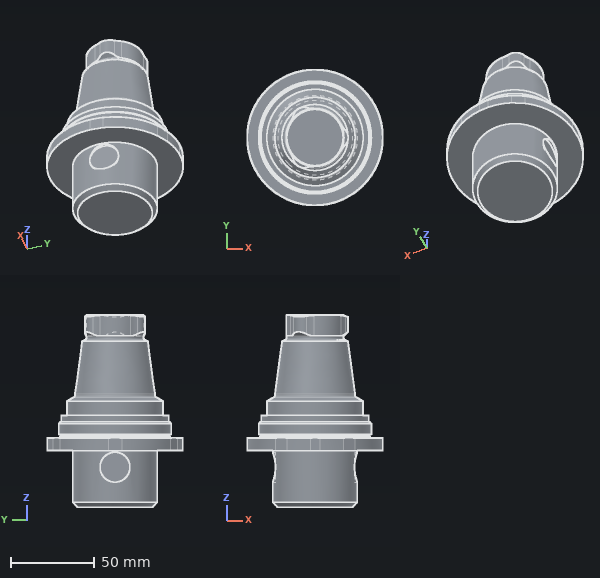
import cadquery as cq
import math

TOTAL_HEIGHT = 116.0
SHANK_RADIUS = 51.0 / 2
SHANK_CHAMFER = 3.0
SHANK_CHAMFER_HEIGHT = 3.2

POCKET_DIAMETER = 18.0
POCKET_CENTER_Z = 24.2
POCKET_FLOOR_X = 23.8

FLANGE_RADIUS = 41.0
FLANGE_BOTTOM_Z = 34.2
FLANGE_TOP_Z = 42.0
FLANGE_CHAMFER = 0.3
MAIN_FLAT_DISTANCE = 40.8
MAIN_FLAT_COUNT = 6
SIDE_FLAT_DISTANCE = 40.9
SIDE_FLAT_ANGLES = (90.0, 270.0)

GROOVE_RADIUS = 66.1 / 2
GROOVE_CHAMFER_TOP_Z = 44.1
GROOVE_TOP_Z = 43.6
GROOVE_FLARE_RADIUS = 33.4
GROOVE_FLARE_TOP_Z = 42.7
COLLAR_RADIUS = 68.0 / 2
COLLAR_TOP_Z = 50.2
COLLAR_LIP_RADIUS = GROOVE_RADIUS
COLLAR_LIP_Z = 51.5

STEP_RADIUS = 64.96 / 2
STEP_TOP_Z = 55.4
SHOULDER_RADIUS = 58.0 / 2
SHOULDER_TOP_Z = 64.0
SHOULDER_CONE_RADIUS = 24.75
SHOULDER_CONE_TOP_Z = 66.4

TAPER_BASE_RADIUS = 24.15
TAPER_FILLET_TOP_Z = 67.2
TAPER_BASE_Z = 68.5
TAPER_TOP_RADIUS = 19.9
TAPER_TOP_Z = 99.9
TAPER_RIM_RADIUS = 18.25
TAPER_RIM_Z = 100.75

NECK_MID_RADIUS = 17.2
NECK_MID_Z = 101.9
HEAD_RADIUS = 17.45
HEAD_BOTTOM_Z = 103.15
HEAD_TOP_RADIUS = 16.9
HEAD_CHAMFER_Z = 115.45
LOBE_COUNT = 3
LOBE_TIP_RADIUS = 20.0
LOBE_RADIUS = 6.4
LOBE_CENTER_DISTANCE = LOBE_TIP_RADIUS - LOBE_RADIUS
LOBE_TOP_Z = 114.6
LOBE_BOTTOM_Z = 105.6
LOBE_BLEND_ANGLE = 28.0


def polar(radius, angle):
    """Point at a radius and an angle in degrees."""
    return (radius * math.cos(math.radians(angle)), radius * math.sin(math.radians(angle)))


def make_body():
    """Turned body from the shank up to the underside of the head."""
    profile = (
        cq.Workplane("XZ")
        .moveTo(0, 0)
        .lineTo(SHANK_RADIUS - SHANK_CHAMFER, 0)
        .lineTo(SHANK_RADIUS, SHANK_CHAMFER_HEIGHT)
        .lineTo(SHANK_RADIUS, FLANGE_BOTTOM_Z)
        .lineTo(GROOVE_FLARE_RADIUS, FLANGE_BOTTOM_Z)
        .lineTo(GROOVE_FLARE_RADIUS, FLANGE_TOP_Z)
        .lineTo(GROOVE_RADIUS, GROOVE_FLARE_TOP_Z)
        .lineTo(GROOVE_RADIUS, GROOVE_TOP_Z)
        .lineTo(COLLAR_RADIUS, GROOVE_CHAMFER_TOP_Z)
        .lineTo(COLLAR_RADIUS, COLLAR_TOP_Z)
        .lineTo(COLLAR_LIP_RADIUS, COLLAR_LIP_Z)
        .lineTo(STEP_RADIUS, COLLAR_LIP_Z)
        .lineTo(STEP_RADIUS, STEP_TOP_Z)
        .lineTo(SHOULDER_RADIUS, STEP_TOP_Z)
        .lineTo(SHOULDER_RADIUS, SHOULDER_TOP_Z)
        .lineTo(SHOULDER_CONE_RADIUS, SHOULDER_CONE_TOP_Z)
        .tangentArcPoint((TAPER_BASE_RADIUS, TAPER_FILLET_TOP_Z), relative=False)
        .lineTo(TAPER_BASE_RADIUS, TAPER_BASE_Z)
        .lineTo(TAPER_TOP_RADIUS, TAPER_TOP_Z)
        .lineTo(TAPER_RIM_RADIUS, TAPER_RIM_Z)
        .threePointArc((NECK_MID_RADIUS, NECK_MID_Z), (HEAD_RADIUS, HEAD_BOTTOM_Z))
        .lineTo(0, HEAD_BOTTOM_Z)
        .close()
    )
    return profile.revolve(360, (0, 0, 0), (0, 1, 0))


def make_flange():
    """Disc with a chamfered top edge and flats cut into its rim."""
    height = FLANGE_TOP_Z - FLANGE_BOTTOM_Z
    flange = cq.Workplane("XY").workplane(offset=FLANGE_BOTTOM_Z).circle(FLANGE_RADIUS).extrude(height)
    flange = flange.faces(">Z").edges().chamfer(FLANGE_CHAMFER)
    flats = [(i * 360 / MAIN_FLAT_COUNT, MAIN_FLAT_DISTANCE) for i in range(MAIN_FLAT_COUNT)]
    flats += [(angle, SIDE_FLAT_DISTANCE) for angle in SIDE_FLAT_ANGLES]
    for angle, distance in flats:
        cutter = (
            cq.Workplane("XY")
            .box(FLANGE_RADIUS, FLANGE_RADIUS, height, centered=(False, True, False))
            .translate((distance, 0, FLANGE_BOTTOM_Z))
            .rotate((0, 0, 0), (0, 0, 1), angle)
        )
        flange = flange.cut(cutter)
    return flange


def lobed_outline():
    """Circle with rounded lobes, each joined to it by tangent concave arcs."""
    blend_cos = math.cos(math.radians(LOBE_BLEND_ANGLE))
    radius_gap = HEAD_RADIUS - LOBE_RADIUS
    blend_center_distance = (LOBE_CENTER_DISTANCE**2 - radius_gap**2) / (
        2 * (LOBE_CENTER_DISTANCE * blend_cos - radius_gap)
    )
    blend_radius = blend_center_distance - HEAD_RADIUS
    center_x, center_y = polar(blend_center_distance, LOBE_BLEND_ANGLE)
    lobe_share = LOBE_RADIUS / (LOBE_RADIUS + blend_radius)
    tangent_x = LOBE_CENTER_DISTANCE + (center_x - LOBE_CENTER_DISTANCE) * lobe_share
    tangent_y = center_y * lobe_share
    tangent_radius = math.hypot(tangent_x, tangent_y)
    tangent_angle = math.degrees(math.atan2(tangent_y, tangent_x))
    start_x, start_y = polar(HEAD_RADIUS, LOBE_BLEND_ANGLE)
    chord_x = (start_x + tangent_x) / 2 - center_x
    chord_y = (start_y + tangent_y) / 2 - center_y
    chord_scale = blend_radius / math.hypot(chord_x, chord_y)
    middle_x = center_x + chord_x * chord_scale
    middle_y = center_y + chord_y * chord_scale
    middle_radius = math.hypot(middle_x, middle_y)
    middle_angle = math.degrees(math.atan2(middle_y, middle_x))

    pitch = 360 / LOBE_COUNT
    base = cq.Workplane("XY").workplane(offset=HEAD_BOTTOM_Z)
    outline = base.moveTo(*polar(HEAD_RADIUS, -LOBE_BLEND_ANGLE))
    for i in range(LOBE_COUNT):
        axis = i * pitch
        lobe_start = polar(tangent_radius, axis - tangent_angle)
        lobe_end = polar(tangent_radius, axis + tangent_angle)
        head_start = polar(HEAD_RADIUS, axis + LOBE_BLEND_ANGLE)
        head_end = polar(HEAD_RADIUS, axis + pitch - LOBE_BLEND_ANGLE)
        outline = (
            outline
            .threePointArc(polar(middle_radius, axis - middle_angle), lobe_start)
            .threePointArc(polar(LOBE_TIP_RADIUS, axis), lobe_end)
            .threePointArc(polar(middle_radius, axis + middle_angle), head_start)
            .threePointArc(polar(HEAD_RADIUS, axis + pitch / 2), head_end)
        )
    return outline.close()


def make_head():
    """Lobed head, with its top and the lobe undersides bevelled by turned cones."""
    lobed = lobed_outline().extrude(TOTAL_HEIGHT - HEAD_BOTTOM_Z)
    envelope = (
        cq.Workplane("XZ")
        .moveTo(0, HEAD_BOTTOM_Z)
        .lineTo(HEAD_RADIUS, HEAD_BOTTOM_Z)
        .lineTo(LOBE_TIP_RADIUS, LOBE_BOTTOM_Z)
        .lineTo(LOBE_TIP_RADIUS, LOBE_TOP_Z)
        .lineTo(HEAD_RADIUS, HEAD_CHAMFER_Z)
        .lineTo(HEAD_TOP_RADIUS, TOTAL_HEIGHT)
        .lineTo(0, TOTAL_HEIGHT)
        .close()
        .revolve(360, (0, 0, 0), (0, 1, 0))
    )
    return lobed.intersect(envelope)


def make_pocket(side):
    """Cutter for the blind pocket on the side given by the sign of X."""
    depth = SHANK_RADIUS - POCKET_FLOOR_X
    return (
        cq.Workplane("YZ")
        .workplane(offset=side * POCKET_FLOOR_X)
        .center(0, POCKET_CENTER_Z)
        .circle(POCKET_DIAMETER / 2)
        .extrude(side * depth)
    )


result = make_body().union(make_flange()).union(make_head())
for pocket_side in (-1, 1):
    result = result.cut(make_pocket(pocket_side))